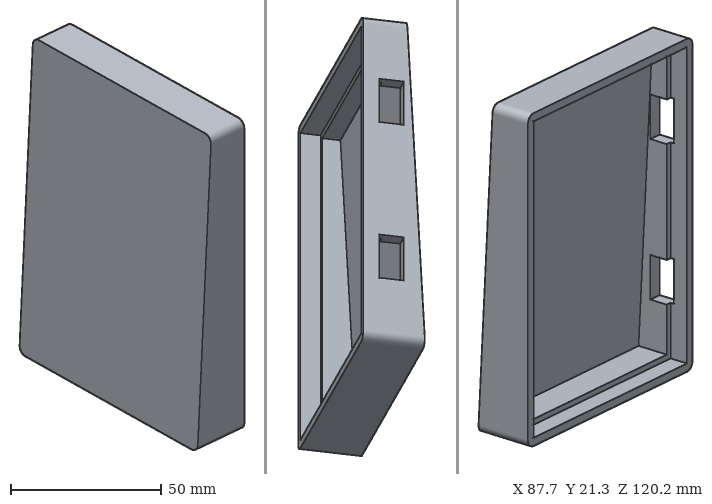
import cadquery as cq

width = 87.7
height = 120.2
depth_bottom = 21.3
depth_top = 15.0
corner_radius = 3.0

wall = 5.0
rim_wall = 3.0
rim_depth = 7.0
panel_thickness = 2.0

window_height = 16.1
window_near_back = 5.5
window_far_from_back = 14.0
window_pitch = 58.0


def wedge(front_offset):
    """Full-width prism from the back plane (Y = 0) to the front, moved back by front_offset."""
    profile = [
        (0, -height / 2),
        (0, height / 2),
        (front_offset - depth_top, height / 2),
        (front_offset - depth_bottom, -height / 2),
    ]
    return cq.Workplane("YZ").polyline(profile).close().extrude(width / 2, both=True)


def upright_block(inset, depth):
    """Block reaching forward from the back plane, inset from the outer sides."""
    return (
        cq.Workplane("XZ")
        .rect(width - 2 * inset, height - 2 * inset)
        .extrude(depth)
    )


def make_body():
    rounded_block = upright_block(0, depth_bottom).edges("|Y").fillet(corner_radius)
    return wedge(0).intersect(rounded_block)


def make_cavity():
    main_pocket = wedge(panel_thickness).intersect(upright_block(wall, depth_bottom))
    rim_recess = upright_block(rim_wall, rim_depth)
    return main_pocket.union(rim_recess)


def make_windows():
    window_width = window_far_from_back - window_near_back
    window_y = -(window_near_back + window_far_from_back) / 2
    return (
        cq.Workplane("YZ", origin=(-width / 2, 0, 0))
        .pushPoints([(window_y, -window_pitch / 2), (window_y, window_pitch / 2)])
        .rect(window_width, window_height)
        .extrude(wall)
    )


result = make_body().cut(make_cavity()).cut(make_windows())